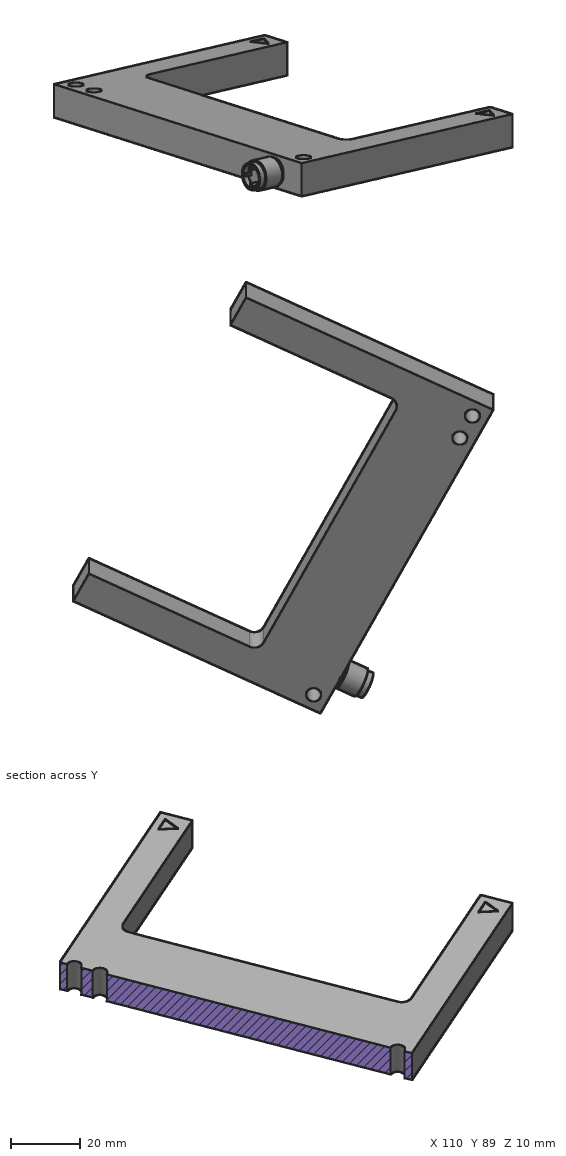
import cadquery as cq
import math

body_width = 110.0
body_length = 80.0
thickness = 10.0
arm_width = 10.0
base_depth = 25.0
inner_corner_radius = 3.0
mid_height = thickness / 2

hole_diameter = 4.3
hole_edge_offset = 4.5
hole_pair_spacing = 8.0

arrow_length = 5.0
arrow_height = 5.0
arrow_side_offset = 2.5
arrow_tip_offset = 5.0
arrow_depth = 0.2

connector_x = 98.0
neck_diameter = 8.0
neck_length = 1.0
collar_diameter = 9.0
collar_length = 6.0
nose_diameter = 8.0
nose_length = 2.0
socket_diameter = 7.0
socket_depth = 2.0

pin_diameter = 1.0
pin_circle_radius = 2.5
pin_length = socket_depth
pin_angles = (90, 180, 270)


def make_body():
    slot_width = body_width - 2 * arm_width
    slot_length = body_length - base_depth
    block = cq.Workplane("XY").box(body_width, body_length, thickness, centered=False)
    slot = (
        cq.Workplane("XY")
        .box(slot_width, slot_length, thickness, centered=False)
        .edges("|Z and <Y")
        .fillet(inner_corner_radius)
        .translate((arm_width, base_depth, 0))
    )
    return block.cut(slot)


def make_mounting_holes():
    hole_xs = (
        hole_edge_offset,
        hole_edge_offset + hole_pair_spacing,
        body_width - hole_edge_offset,
    )
    return (
        cq.Workplane("XY")
        .pushPoints([(x, hole_edge_offset) for x in hole_xs])
        .circle(hole_diameter / 2)
        .extrude(thickness)
    )


def make_arrow(arm_left_x):
    """Triangle pointing along +X, sunk into the top of one arm."""
    back_x = arm_left_x + arrow_side_offset
    centre_y = body_length - arrow_tip_offset
    return (
        cq.Workplane("XY", origin=(0, 0, thickness))
        .moveTo(back_x, centre_y - arrow_height / 2)
        .lineTo(back_x + arrow_length, centre_y)
        .lineTo(back_x, centre_y + arrow_height / 2)
        .close()
        .extrude(-arrow_depth)
    )


def connector_cylinder(diameter, start, length, x=connector_x, z=mid_height):
    """Cylinder along -Y, starting at a distance in front of the base bar."""
    return (
        cq.Workplane("XZ", origin=(x, -start, z))
        .circle(diameter / 2)
        .extrude(length)
    )


def make_connector():
    collar_end = neck_length + collar_length
    connector_length = collar_end + nose_length
    socket_floor = connector_length - socket_depth

    connector = (
        connector_cylinder(neck_diameter, 0, neck_length)
        .union(connector_cylinder(collar_diameter, neck_length, collar_length))
        .union(connector_cylinder(nose_diameter, collar_end, nose_length))
        .cut(connector_cylinder(socket_diameter, socket_floor, socket_depth))
    )
    for angle in pin_angles:
        pin_x = connector_x + pin_circle_radius * math.cos(math.radians(angle))
        pin_z = mid_height + pin_circle_radius * math.sin(math.radians(angle))
        connector = connector.union(
            connector_cylinder(pin_diameter, socket_floor, pin_length, pin_x, pin_z)
        )
    return connector


result = make_body().cut(make_mounting_holes())
for arm_left in (0, body_width - arm_width):
    result = result.cut(make_arrow(arm_left))
result = result.union(make_connector())